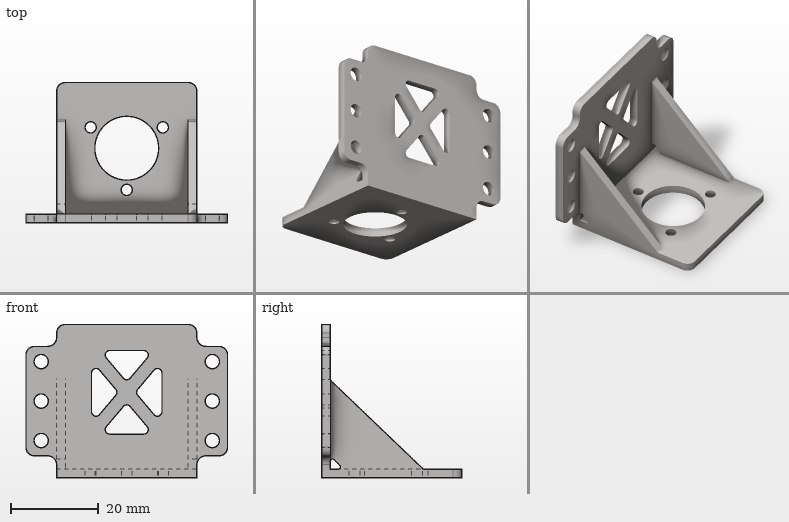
import cadquery as cq
import math

THICKNESS = 2.0
BODY_WIDTH = 32.0
BASE_DEPTH = 32.0
PLATE_HEIGHT = 35.0
CORNER_RADIUS = 2.0

EAR_SPAN = 46.0
EAR_BOTTOM = 5.0
EAR_TOP = 30.0
EAR_HOLE_DIAMETER = 3.2
EAR_HOLE_SPAN = 39.0
EAR_HOLE_PITCH = 9.0

WINDOW_MARGIN = 8.0
WINDOW_BOTTOM = 10.0
WINDOW_HEIGHT = 19.0
WINDOW_WIDTH = BODY_WIDTH - 2 * WINDOW_MARGIN
BRACE_WIDTH = 3.0
WINDOW_CORNER_RADIUS = 1.0

MOTOR_HOLE_DIAMETER = 14.5
MOTOR_SCREW_DIAMETER = 2.5
MOTOR_SCREW_CIRCLE_RADIUS = 9.5
MOTOR_SCREW_ANGLES = (-90, 30, 150)
MOTOR_Y = (THICKNESS + BASE_DEPTH) / 2

GUSSET_END_Y = 23.2
GUSSET_TOP_Z = 22.3
GUSSET_FOOT = 1.0
GUSSET_FILLET_RADIUS = 0.5
RELIEF_LEG = 3.0
RELIEF_RADIUS = 0.5

HALF_BODY = BODY_WIDTH / 2


def block(x_min, x_max, y_min, y_max, z_min, z_max):
    """Axis-aligned box between two opposite corners."""
    size = (x_max - x_min, y_max - y_min, z_max - z_min)
    return cq.Workplane("XY").box(*size, centered=False).translate((x_min, y_min, z_min))


def make_upright_plate():
    """Upright plate with rounded ears; its two bottom corners stay square."""
    body = block(-HALF_BODY, HALF_BODY, 0, THICKNESS, 0, PLATE_HEIGHT)
    ears = block(-EAR_SPAN / 2, EAR_SPAN / 2, 0, THICKNESS, EAR_BOTTOM, EAR_TOP)
    plate = body.union(ears)
    return plate.edges("|Y and (not <Z)").fillet(CORNER_RADIUS)


def make_ear_holes():
    """Three screw holes through each ear."""
    middle_z = (EAR_BOTTOM + EAR_TOP) / 2
    points = []
    for side in (-1, 1):
        for step in (-1, 0, 1):
            points.append((side * EAR_HOLE_SPAN / 2, middle_z + step * EAR_HOLE_PITCH))
    return cq.Workplane("XZ").pushPoints(points).circle(EAR_HOLE_DIAMETER / 2).extrude(-THICKNESS)


def make_window():
    """Four rounded triangles left open by two diagonal braces across a rectangle."""
    window = cq.Workplane("XZ").rect(WINDOW_WIDTH, WINDOW_HEIGHT).extrude(-THICKNESS)
    diagonal = math.hypot(WINDOW_WIDTH, WINDOW_HEIGHT)
    angle = math.degrees(math.atan2(WINDOW_HEIGHT, WINDOW_WIDTH))
    for sign in (-1, 1):
        brace = cq.Workplane("XZ").rect(2 * diagonal, BRACE_WIDTH).extrude(-THICKNESS)
        window = window.cut(brace.rotate((0, 0, 0), (0, 1, 0), sign * angle))
    window = window.edges("|Y").fillet(WINDOW_CORNER_RADIUS)
    return window.translate((0, 0, WINDOW_BOTTOM + WINDOW_HEIGHT / 2))


def make_base():
    """Horizontal base with rounded free corners and the motor hole pattern."""
    base = block(-HALF_BODY, HALF_BODY, 0, BASE_DEPTH, 0, THICKNESS)
    base = base.edges("|Z and >Y").fillet(CORNER_RADIUS)
    screws = []
    for angle in MOTOR_SCREW_ANGLES:
        x = MOTOR_SCREW_CIRCLE_RADIUS * math.cos(math.radians(angle))
        y = MOTOR_Y + MOTOR_SCREW_CIRCLE_RADIUS * math.sin(math.radians(angle))
        screws.append((x, y))
    motor_hole = cq.Workplane("XY").center(0, MOTOR_Y).circle(MOTOR_HOLE_DIAMETER / 2).extrude(THICKNESS)
    screw_holes = cq.Workplane("XY").pushPoints(screws).circle(MOTOR_SCREW_DIAMETER / 2).extrude(THICKNESS)
    return base.cut(motor_hole).cut(screw_holes)


def make_prism(x_min, outline):
    """Extrude a closed (y, z) outline along X by one wall thickness."""
    return cq.Workplane("YZ", origin=(x_min, 0, 0)).polyline(outline).close().extrude(THICKNESS)


def make_gusset(x_min):
    """Sloped side wall, filleted into the base and plate, with a relief in its inner corner.

    The outline includes short feet lying inside the base and the plate so that
    both ends of the slope can be filleted before the parts are joined.
    """
    foot_y = GUSSET_END_Y + GUSSET_FOOT
    foot_z = GUSSET_TOP_Z + GUSSET_FOOT
    slope_ends = [(GUSSET_END_Y, THICKNESS), (THICKNESS, GUSSET_TOP_Z)]
    outline = [(0, 0), (foot_y, 0), (foot_y, THICKNESS), *slope_ends, (THICKNESS, foot_z), (0, foot_z)]
    wall = make_prism(x_min, outline)
    for y, z in slope_ends:
        nearest = cq.selectors.NearestToPointSelector((x_min + THICKNESS / 2, y, z))
        wall = wall.edges("|X").edges(nearest).fillet(GUSSET_FILLET_RADIUS)

    relief_end = THICKNESS + RELIEF_LEG
    relief = make_prism(x_min, [(THICKNESS, THICKNESS), (relief_end, THICKNESS), (THICKNESS, relief_end)])
    relief = relief.edges("|X").edges(">Y or >Z").fillet(RELIEF_RADIUS)
    return wall.cut(relief)


upright_plate = make_upright_plate().cut(make_ear_holes()).cut(make_window())
result = upright_plate.union(make_base())
for gusset_x in (-HALF_BODY, HALF_BODY - THICKNESS):
    result = result.union(make_gusset(gusset_x))